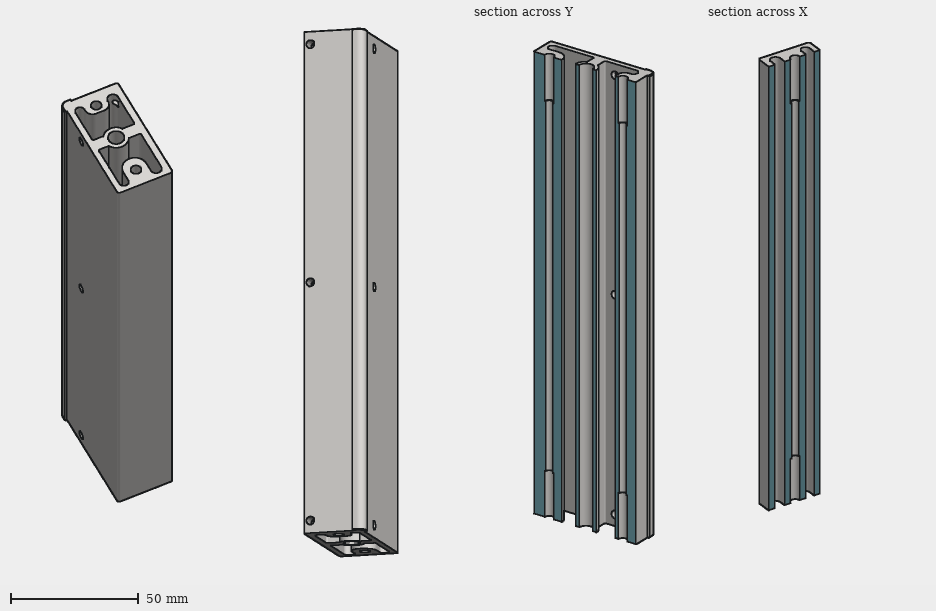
import cadquery as cq
import math

length = 200.0
body_width = 49.0
body_depth = 24.0
corner_radius = 1.0

lip_thickness = 1.0
lip_reach = 4.8
lip_corner_radius = 3.0
lip_end_chamfer = 0.5

back_wall = 3.0
front_wall = 2.5
left_wall = 4.2
right_wall = 2.2
web_left = -2.8
web_right = 2.5
web_corner_radius = 0.5

boss_radius = 5.0
screw_distance = 17.5
left_boss_reach = 3.5
right_boss_shift = 1.0
left_boss_corner_radius = 3.2
screw_hole_diameter = 4.2
screw_hole_depth = 20.0
screw_bore_diameter = 3.2
ring_diameter = 2 * boss_radius
ring_hole_diameter = 6.5

front_hole_diameter = 3.5
side_hole_diameter = 3.2
end_margin = 5.0
front_hole_offset = 17.5
side_hole_offset = 2.8
side_hole_depth = 6.5

left_face = -(body_width - lip_thickness) / 2
right_face = left_face + body_width
front_face = -(body_depth - lip_thickness) / 2
back_face = front_face + body_depth
lip_left = left_face - lip_thickness
lip_front = front_face - lip_thickness
cross_hole_heights = (end_margin - length / 2, 0, length / 2 - end_margin)


def bar(x_min, x_max, y_min, y_max):
    """Rectangular full-length bar between the given limits."""
    return (
        cq.Workplane("XY", origin=((x_min + x_max) / 2, (y_min + y_max) / 2, 0))
        .box(x_max - x_min, y_max - y_min, length)
    )


def rod(x, y, diameter):
    """Full-length round rod at the given place."""
    return cq.Workplane("XY", origin=(x, y, -length / 2)).circle(diameter / 2).extrude(length)


def outer_body():
    """Bar with rounded edges, plus the lip on its front left edge."""
    body = bar(left_face, right_face, front_face, back_face)
    body = body.edges("|Z").edges(">X or >Y").fillet(corner_radius)
    lip = bar(lip_left, lip_left + lip_reach, lip_front, lip_front + lip_reach)
    lip = lip.edges("|Z and <X and <Y").fillet(lip_corner_radius)
    lip = lip.faces("<X").edges("|Y").chamfer(lip_end_chamfer)
    return body.union(lip)


def finger(x_wall, x_web, y_min, y_max):
    """Strip of a cavity beside a boss, ending in a full round at the outer wall."""
    round_radius = (y_max - y_min) / 2
    x_round = x_wall + math.copysign(round_radius, x_web - x_wall)
    strip = bar(min(x_round, x_web), max(x_round, x_web), y_min, y_max)
    return strip.union(rod(x_round, (y_min + y_max) / 2, 2 * round_radius))


def cavity(x_wall, x_web, boss):
    """Cavity between an outer wall and the web, with a boss reaching in from the wall."""
    pocket = bar(min(x_wall, x_web), max(x_wall, x_web), -boss_radius, boss_radius).cut(boss)
    pocket = pocket.union(finger(x_wall, x_web, front_face + front_wall, -boss_radius))
    pocket = pocket.union(finger(x_wall, x_web, boss_radius, back_face - back_wall))
    web_side = ">X" if x_web > x_wall else "<X"
    return pocket.clean().faces(web_side).edges("|Z").fillet(web_corner_radius)


def left_cavity():
    """Cavity around the rounded rectangular boss on the left wall."""
    x_wall = left_face + left_wall
    boss_tip = left_boss_reach - screw_distance
    boss = bar(left_face, boss_tip, -boss_radius, boss_radius)
    boss = boss.edges("|Z and >X").fillet(left_boss_corner_radius)
    return cavity(x_wall, web_left, boss)


def right_cavity():
    """Cavity around the round-ended boss on the right wall."""
    x_wall = right_face - right_wall
    x_boss = screw_distance - right_boss_shift
    boss = bar(x_boss, right_face, -boss_radius, boss_radius).union(rod(x_boss, 0, 2 * boss_radius))
    return cavity(x_wall, web_right, boss)


def screw_hole(x):
    """Bore right through a boss, widened from both ends for the screws."""
    bore = rod(x, 0, screw_bore_diameter)
    for z in (-length / 2, length / 2 - screw_hole_depth):
        entry = cq.Workplane("XY", origin=(x, 0, z)).circle(screw_hole_diameter / 2)
        bore = bore.union(entry.extrude(screw_hole_depth))
    return bore


def front_holes():
    """Holes through the front wall into the left cavity."""
    x = lip_left + front_hole_offset
    points = [(x, z) for z in cross_hole_heights]
    return (
        cq.Workplane("XZ", origin=(0, front_face, 0))
        .pushPoints(points)
        .circle(front_hole_diameter / 2)
        .extrude(-front_wall)
    )


def side_holes():
    """Holes through the left wall, partly opening into the left cavity."""
    y = back_face - side_hole_offset
    points = [(y, z) for z in cross_hole_heights]
    return (
        cq.Workplane("YZ", origin=(left_face, 0, 0))
        .pushPoints(points)
        .circle(side_hole_diameter / 2)
        .extrude(side_hole_depth)
    )


result = outer_body().cut(left_cavity()).cut(right_cavity())
result = result.union(rod(0, 0, ring_diameter)).cut(rod(0, 0, ring_hole_diameter))
for x_screw in (-screw_distance, screw_distance):
    result = result.cut(screw_hole(x_screw))
result = result.cut(front_holes()).cut(side_holes())